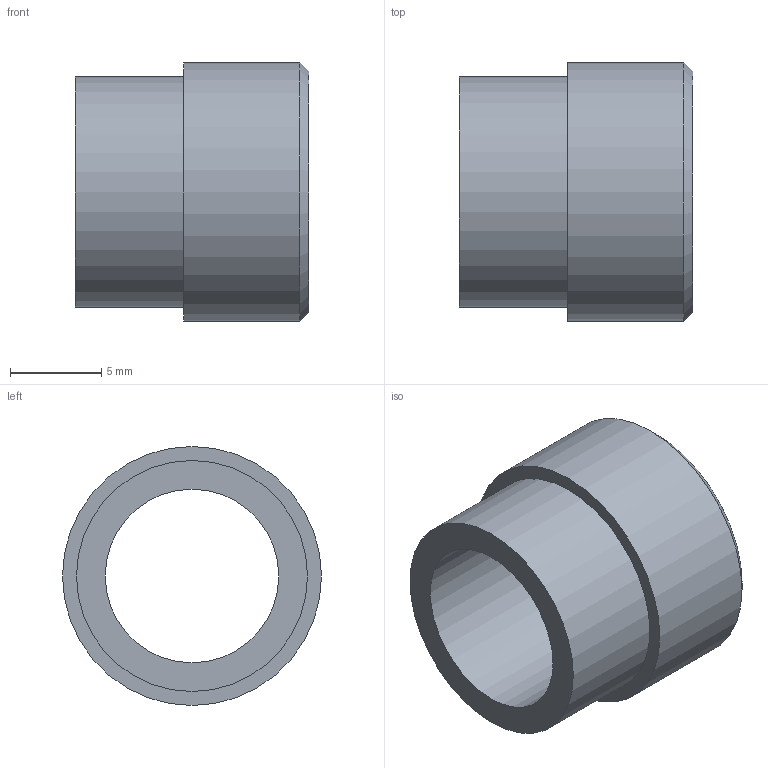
import cadquery as cq

total_length = 12.83
head_length = 6.88
head_diameter = 14.22
spigot_diameter = 12.68
bore_diameter = 9.53
chamfer_size = 0.5

spigot_length = total_length - head_length


def cylinder_along_x(diameter, start, length):
    """Solid cylinder on the X axis, running in +X from start."""
    return cq.Workplane("YZ", origin=(start, 0, 0)).circle(diameter / 2).extrude(length)


head = cylinder_along_x(head_diameter, spigot_length, head_length)
head = head.faces(">X").edges().chamfer(chamfer_size)

spigot = cylinder_along_x(spigot_diameter, 0, spigot_length)

bore = cylinder_along_x(bore_diameter, 0, total_length)

result = spigot.union(head).cut(bore)